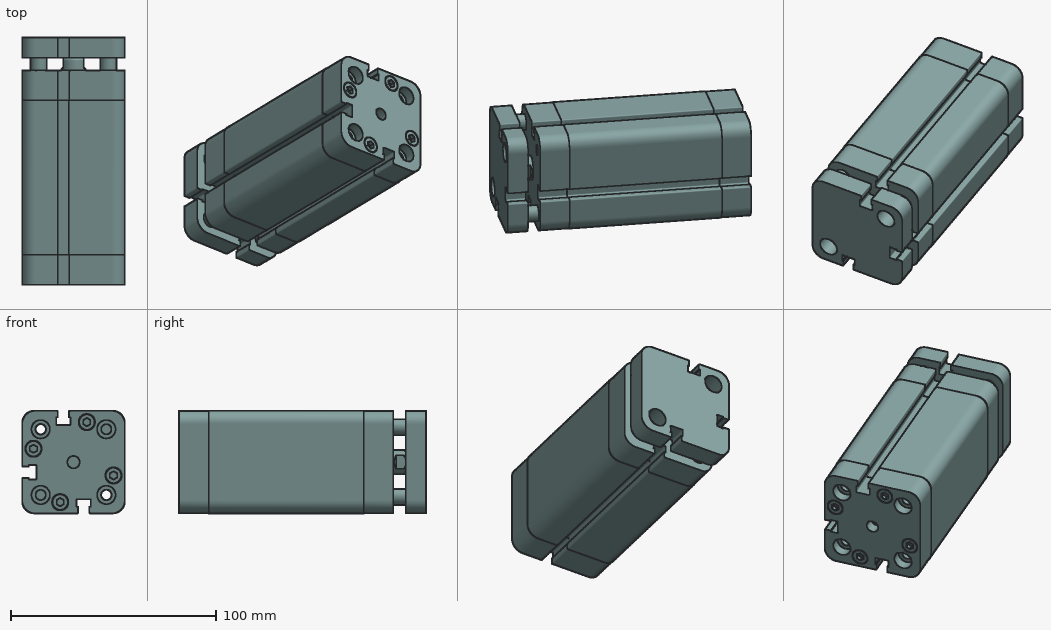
import cadquery as cq
import math

CAP_LENGTH = 14.5
TUBE_LENGTH = 75.5
ROD_GAP = 6.0
PLATE_THICKNESS = 10.0

TUBE_START = CAP_LENGTH
REAR_CAP_START = TUBE_START + TUBE_LENGTH
BODY_END = REAR_CAP_START + CAP_LENGTH
PLATE_START = BODY_END + ROD_GAP

CAP_WIDTH = 50.0
TUBE_WIDTH = 50.1
TUBE_CORNER_RADIUS = 6.0
CAP_CORNER_RADIUS = 6.25

SLOT_OFFSET = 4.95
SLOT_INNER_WIDTH = 6.9
SLOT_LIP_DEPTH = 3.25
SLOT_FLOOR_FILLET = 0.4
SLOT_RIM_WIDTH = 6.6
TUBE_SLOT_DEPTH = 7.1
TUBE_SLOT_MOUTH = 5.4
CAP_SLOT_DEPTH = 6.9
CAP_SLOT_MOUTH = 5.6
SLOT_TURNS = (0, 90, 180)

MOUNT_OFFSET = 16.0
MOUNT_BORE_DIAMETER = 9.0
MOUNT_BORE_DEPTH = 5.5
MOUNT_HOLE_DIAMETER = 5.0
ACCESS_HOLE_DIAMETER = 9.5

CENTRE_HOLE_DIAMETER = 6.0
CENTRE_HOLE_DEPTH = 6.0

SCREW_NEAR = 6.5
SCREW_FAR = 19.5
SCREW_POCKET_DIAMETER = 8.0
SCREW_HEAD_DIAMETER = 7.5
SCREW_RING_DEPTH = 5.0
HEX_ACROSS_FLATS = 3.5
HEX_DEPTH = 2.5

ROD_DIAMETER = 12.0
ROD_FLAT_WIDTH = 10.0
ROD_FLAT_LENGTH = 4.6
ROD_FLAT_RUNOUT = 0.9
ROD_END_FILLET = 1.5
ROD_SEAT_DEPTH = 0.2
GUIDE_DIAMETER = 8.0
GUIDE_OFFSET = 17.0


def section_plane(y):
    """Plane across the part at y: local x is X, local y is Z, and the normal is -Y."""
    return cq.Workplane("XZ", origin=(0, y, 0))


def cylinder(x, z, diameter, start, length):
    return section_plane(start).center(x, z).circle(diameter / 2).extrude(-length)


def block(width, corner_radius, start, length):
    return section_plane(start).rect(width, width).extrude(-length).edges("|Y").fillet(corner_radius)


def turned(shape, angle):
    return shape.rotate((0, 0, 0), (0, 1, 0), angle)


def sensor_slot(width, depth, mouth_width, start, length):
    """T-slot cutter for the top side; the mouth widens to the rim with a quarter round on each side."""
    top = width / 2
    floor = top - depth
    lip = top - SLOT_LIP_DEPTH
    inner = section_plane(start).center(-SLOT_OFFSET, (floor + lip) / 2)
    inner = inner.rect(SLOT_INNER_WIDTH, lip - floor).extrude(-length)
    inner = inner.edges("|Y and <Z").fillet(SLOT_FLOOR_FILLET)

    half_mouth = mouth_width / 2
    half_rim = SLOT_RIM_WIDTH / 2
    rim_radius = half_rim - half_mouth
    mouth = section_plane(start).center(-SLOT_OFFSET, 0).moveTo(-half_mouth, lip)
    mouth = mouth.lineTo(-half_mouth, top - rim_radius)
    mouth = mouth.radiusArc((-half_rim, top), -rim_radius)
    mouth = mouth.lineTo(half_rim, top)
    mouth = mouth.radiusArc((half_mouth, top - rim_radius), -rim_radius)
    mouth = mouth.lineTo(half_mouth, lip).close().extrude(-length)
    return inner.union(mouth)


def screw_pocket(x, z):
    """Cutter for the ring around a screw head and its hexagon socket, one corner of it pointing up."""
    pocket = cylinder(x, z, SCREW_POCKET_DIAMETER, 0, SCREW_RING_DEPTH)
    head = cylinder(x, z, SCREW_HEAD_DIAMETER, 0, SCREW_RING_DEPTH)
    hex_diameter = HEX_ACROSS_FLATS / math.cos(math.pi / 6)
    socket = turned(section_plane(0).polygon(6, hex_diameter).extrude(-HEX_DEPTH), 90)
    return pocket.cut(head).union(socket.translate((x, 0, z)))


def piston_rod():
    """Rod with wrench flats facing -X and +X; its rounded end is seated slightly into the end plate."""
    rod = cylinder(0, 0, ROD_DIAMETER, BODY_END, ROD_GAP + ROD_SEAT_DEPTH)
    rod = rod.faces(">Y").edges().fillet(ROD_END_FILLET)
    rod_end = PLATE_START + ROD_SEAT_DEPTH
    inner = ROD_FLAT_WIDTH / 2
    outer = ROD_DIAMETER / 2
    flat_end = PLATE_START - ROD_FLAT_LENGTH
    for side in (-1, 1):
        profile = [
            (side * inner, rod_end),
            (side * inner, flat_end),
            (side * outer, flat_end - ROD_FLAT_RUNOUT),
            (side * outer, rod_end),
        ]
        flat = cq.Workplane("XY").polyline(profile).close().extrude(ROD_DIAMETER / 2, both=True)
        rod = rod.cut(flat)
    return rod


def slotted_block(width, corner_radius, slot_depth, slot_mouth, start, length):
    """Square block with rounded corners and a sensor slot in its top, left and bottom sides."""
    body = block(width, corner_radius, start, length)
    slot = sensor_slot(width, slot_depth, slot_mouth, start, length)
    for turn in SLOT_TURNS:
        body = body.cut(turned(slot, -turn))
    return body


result = slotted_block(
    TUBE_WIDTH, TUBE_CORNER_RADIUS, TUBE_SLOT_DEPTH, TUBE_SLOT_MOUTH, TUBE_START, TUBE_LENGTH
)
for start, length in ((0, CAP_LENGTH), (REAR_CAP_START, CAP_LENGTH), (PLATE_START, PLATE_THICKNESS)):
    end_block = slotted_block(
        CAP_WIDTH, CAP_CORNER_RADIUS, CAP_SLOT_DEPTH, CAP_SLOT_MOUTH, start, length
    )
    result = result.union(end_block)
result = result.union(piston_rod())
for side in (-1, 1):
    guide = cylinder(side * GUIDE_OFFSET, side * GUIDE_OFFSET, GUIDE_DIAMETER, BODY_END, ROD_GAP)
    result = result.union(guide)

for side_x in (-1, 1):
    for side_z in (-1, 1):
        x = side_x * MOUNT_OFFSET
        z = side_z * MOUNT_OFFSET
        has_guide = side_x == side_z
        hole_length = REAR_CAP_START if has_guide else BODY_END
        result = result.cut(cylinder(x, z, MOUNT_HOLE_DIAMETER, 0, hole_length))
        result = result.cut(cylinder(x, z, MOUNT_BORE_DIAMETER, 0, MOUNT_BORE_DEPTH))
        if not has_guide:
            result = result.cut(cylinder(x, z, ACCESS_HOLE_DIAMETER, PLATE_START, PLATE_THICKNESS))

result = result.cut(cylinder(0, 0, CENTRE_HOLE_DIAMETER, 0, CENTRE_HOLE_DEPTH))
for side in (-1, 1):
    result = result.cut(screw_pocket(side * SCREW_NEAR, side * SCREW_FAR))
    result = result.cut(screw_pocket(side * SCREW_FAR, -side * SCREW_NEAR))